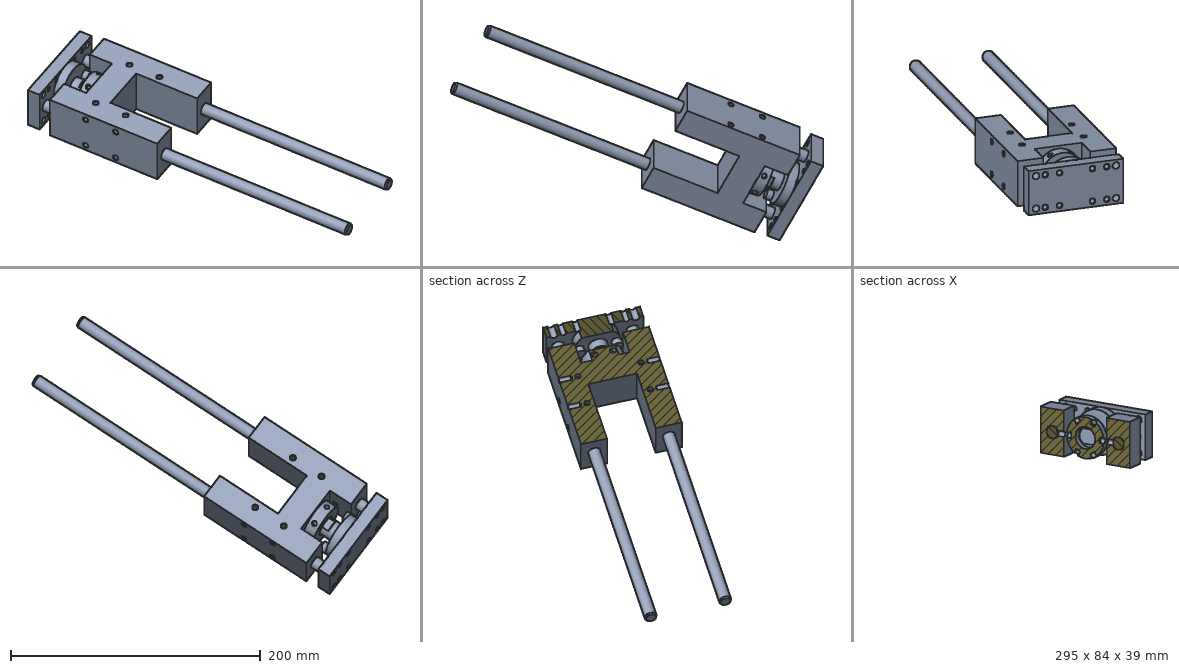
import cadquery as cq
import math


HOUSING_FRONT = 21.5
HOUSING_LENGTH = 100.3
HOUSING_WIDTH = 84.0
HOUSING_HEIGHT = 39.0
SLOT_WIDTH = 40.0
WEB_FRONT = 42.2
WEB_BACK = 65.0
HOUSING_BACK = HOUSING_FRONT + HOUSING_LENGTH

TAP_DIAMETER = 4.0
TAP_MOUTH_DIAMETER = 5.0
TAP_DEPTH = 10.0
DRILL_POINT_ANGLE = 118.0
TAP_PITCH = 28.0
HOUSING_TAP_START = HOUSING_FRONT + 33.3
TAP_ROW_SPACING = 52.5

COLLAR_DIAMETER = 35.0
COLLAR_LENGTH = 10.0
COLLAR_BORE_DIAMETER = 18.0
SPANNER_HOLE_COUNT = 6
SPANNER_HOLE_DIAMETER = 4.0
SPANNER_HOLE_DEPTH = 4.0
COLLAR_FRONT = WEB_FRONT - COLLAR_LENGTH

PLATE_THICKNESS = 11.0
PLATE_WIDTH = 80.8
PLATE_HEIGHT = 38.0
PLAIN_HOLE_DIAMETER = 5.5
PLAIN_HOLE_SPACING = 68.0

HOUSING_RISE = (HOUSING_HEIGHT - PLATE_HEIGHT) / 2
HOUSING_TOP = HOUSING_HEIGHT / 2 + HOUSING_RISE

ROD_END = 295.0
ROD_DIAMETER = 10.0
ROD_SPACING = 62.0
ROD_CHAMFER_LENGTH = 1.5
ROD_CHAMFER_DEPTH = 0.75

FLANGE_DIAMETER = PLATE_HEIGHT
FLANGE_THICKNESS = 8.0
SCREW_HEAD_DIAMETER = 8.5
SCREW_HEAD_HEIGHT = 5.3
SCREW_SPACING = 31.3
STUB_DIAMETER = 16.0
STUB_FLATS_WIDTH = 12.7
STUB_FLATS_LENGTH = 6.8
STUB_DEPTH_IN_COLLAR = 1.0
STUB_BACK = COLLAR_FRONT + STUB_DEPTH_IN_COLLAR
STUB_FLATS_START = STUB_BACK - STUB_FLATS_LENGTH
FLANGE_BACK = PLATE_THICKNESS + FLANGE_THICKNESS


def block(x_start, x_end, width, height):
    """Box between two X positions, centred on Y = 0 and Z = 0."""
    return cq.Workplane("XY").box(x_end - x_start, width, height).translate(((x_start + x_end) / 2, 0, 0))


def rod(x_start, x_end, diameter, y=0.0, z=0.0):
    """Cylinder along X between two X positions."""
    return cq.Workplane("YZ", origin=(x_start, y, z)).circle(diameter / 2).extrude(x_end - x_start)


def tapped_hole(position, direction, depth):
    """Cutter for a tapped hole that starts at a position and runs into the part along a direction."""
    radius = TAP_DIAMETER / 2
    mouth_radius = TAP_MOUTH_DIAMETER / 2
    start = cq.Vector(*position)
    inward = cq.Vector(*direction)
    bore = cq.Solid.makeCylinder(radius, depth, start, inward)
    mouth = cq.Solid.makeCone(mouth_radius, radius, mouth_radius - radius, start, inward)
    return bore.fuse(mouth)


def blind_tapped_hole(position, direction):
    """Cutter for a tapped hole that ends in a drill point."""
    radius = TAP_DIAMETER / 2
    inward = cq.Vector(*direction)
    point_height = radius / math.tan(math.radians(DRILL_POINT_ANGLE / 2))
    point = cq.Solid.makeCone(radius, 0, point_height, cq.Vector(*position) + inward * TAP_DEPTH, inward)
    return tapped_hole(position, direction, TAP_DEPTH).fuse(point)


def make_housing():
    """H-shaped housing with its collar, rod bores and tapped holes."""
    body = block(HOUSING_FRONT, HOUSING_BACK, HOUSING_WIDTH, HOUSING_HEIGHT)
    body = body.translate((0, 0, HOUSING_RISE))
    body = body.cut(block(HOUSING_FRONT, WEB_FRONT, SLOT_WIDTH, 2 * HOUSING_HEIGHT))
    body = body.cut(block(WEB_BACK, HOUSING_BACK, SLOT_WIDTH, 2 * HOUSING_HEIGHT))
    body = body.union(rod(COLLAR_FRONT, WEB_FRONT, COLLAR_DIAMETER))
    body = body.cut(rod(COLLAR_FRONT, WEB_FRONT, COLLAR_BORE_DIAMETER))

    hole_x = COLLAR_FRONT + COLLAR_LENGTH / 2
    collar_radius = COLLAR_DIAMETER / 2
    for index in range(SPANNER_HOLE_COUNT):
        angle = 2 * math.pi * (index + 0.5) / SPANNER_HOLE_COUNT
        outward = cq.Vector(0, math.sin(angle), math.cos(angle))
        start = cq.Vector(hole_x, 0, 0) + outward * (collar_radius - SPANNER_HOLE_DEPTH)
        hole = cq.Solid.makeCylinder(SPANNER_HOLE_DIAMETER / 2, collar_radius, start, outward)
        body = body.cut(cq.Workplane(hole))

    for side in (-1, 1):
        body = body.cut(rod(HOUSING_FRONT, HOUSING_BACK, ROD_DIAMETER, side * ROD_SPACING / 2))

    for x in (HOUSING_TAP_START, HOUSING_TAP_START + TAP_PITCH):
        for side in (-1, 1):
            top_position = (x, side * TAP_ROW_SPACING / 2, HOUSING_TOP)
            body = body.cut(cq.Workplane(blind_tapped_hole(top_position, (0, 0, -1))))
            for z in (-TAP_PITCH / 2, TAP_PITCH / 2):
                side_position = (x, side * HOUSING_WIDTH / 2, z)
                body = body.cut(cq.Workplane(blind_tapped_hole(side_position, (0, -side, 0))))
    return body


def make_guide_rod(y):
    """Guide rod from the back of the plate to its chamfered free end."""
    end_radius = ROD_DIAMETER / 2 - ROD_CHAMFER_DEPTH
    chamfer_start = ROD_END - ROD_CHAMFER_LENGTH
    shaft = rod(PLATE_THICKNESS, chamfer_start, ROD_DIAMETER, y)
    tip = cq.Solid.makeCone(
        ROD_DIAMETER / 2, end_radius, ROD_CHAMFER_LENGTH, cq.Vector(chamfer_start, y, 0), cq.Vector(1, 0, 0)
    )
    return shaft.union(cq.Workplane(tip))


def make_coupling():
    """Round flange with two screw heads and a stub with wrench flats that reaches into the collar bore."""
    flange = rod(PLATE_THICKNESS, FLANGE_BACK, FLANGE_DIAMETER)
    for side in (-1, 1):
        head_back = FLANGE_BACK + SCREW_HEAD_HEIGHT
        flange = flange.union(rod(FLANGE_BACK, head_back, SCREW_HEAD_DIAMETER, side * SCREW_SPACING / 2))
    shank = rod(FLANGE_BACK, STUB_FLATS_START, STUB_DIAMETER)
    flats = rod(STUB_FLATS_START, STUB_BACK, STUB_DIAMETER)
    flats = flats.intersect(block(STUB_FLATS_START, STUB_BACK, STUB_DIAMETER, STUB_FLATS_WIDTH))
    return flange.union(shank).union(flats)


def make_slide():
    """Front plate with its holes, carrying the two guide rods and the coupling."""
    body = block(0, PLATE_THICKNESS, PLATE_WIDTH, PLATE_HEIGHT)
    for z in (-TAP_PITCH / 2, TAP_PITCH / 2):
        for side in (-1, 1):
            for spacing in (TAP_PITCH, TAP_ROW_SPACING):
                position = (0, side * spacing / 2, z)
                body = body.cut(cq.Workplane(tapped_hole(position, (1, 0, 0), PLATE_THICKNESS)))
            body = body.cut(rod(0, PLATE_THICKNESS, PLAIN_HOLE_DIAMETER, side * PLAIN_HOLE_SPACING / 2, z))
    for side in (-1, 1):
        body = body.union(make_guide_rod(side * ROD_SPACING / 2))
    return body.union(make_coupling())


housing = make_housing()
slide = make_slide()

result = cq.Compound.makeCompound([housing.val(), slide.val()])